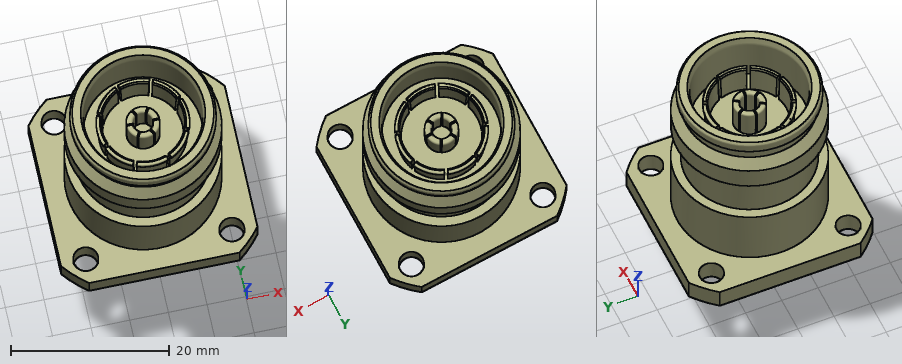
import cadquery as cq

flange_side = 25.4
flange_thickness = 2.8
flange_corner_radius = 16.0
mount_hole_diameter = 3.2
mount_hole_pitch = 18.9

barrel_radius = 9.97
barrel_top = 11.0
neck_radius = 8.73
collar_bottom = 16.15
collar_top = 21.7
collar_chamfer = barrel_radius - neck_radius
lip_radius = 9.25
lip_bottom = 23.5
lip_top = 25.0
lip_rim_radius = 8.95
lip_cone_radius = 9.2
lip_cone_height = 0.3
lip_rounding_height = 0.22

mouth_radius = 7.88
mouth_cone_radius = 7.63
mouth_cone_depth = 0.7
mouth_rounding_depth = 0.35
socket_radius = 7.57
socket_floor = 18.05

contact_top = 21.9

ring_outer_radius = 5.92
ring_inner_radius_top = 5.28
ring_inner_radius_base = 5.1
ring_outer_rounding = 0.12
ring_bead_height = 0.5
ring_wall_radius = 5.65
ring_inner_chamfer = 0.2
ring_slot_width = 0.45
ring_slot_count = 4

pin_outer_radius = 2.15
pin_inner_radius = 1.27
pin_outer_rounding = 0.25
pin_inner_rounding = 0.3
pin_slot_width = 0.2
pin_slot_count = 3

rear_neck_radius = 3.17
rear_plug_radius = 4.0
rear_neck_length = 1.3
rear_plug_length = 7.0
rear_chamfer = rear_plug_radius - rear_neck_radius


def revolved(outline):
    """Solid of revolution about Z from an outline drawn as (radius, height)."""
    return outline.close().revolve(360, (0, 0, 0), (0, 1, 0))


def make_flange():
    corner_trim = cq.Workplane("XY").circle(flange_corner_radius).extrude(flange_thickness)
    plate = cq.Workplane("XY").rect(flange_side, flange_side).extrude(flange_thickness)
    return (
        plate.intersect(corner_trim)
        .faces(">Z")
        .workplane()
        .rect(mount_hole_pitch, mount_hole_pitch, forConstruction=True)
        .vertices()
        .hole(mount_hole_diameter)
    )


def make_barrel():
    lip_cone_bottom = lip_top - lip_cone_height
    outline = (
        cq.Workplane("XZ")
        .lineTo(barrel_radius, 0)
        .lineTo(barrel_radius, barrel_top)
        .lineTo(neck_radius, barrel_top)
        .lineTo(neck_radius, collar_bottom)
        .lineTo(barrel_radius, collar_bottom + collar_chamfer)
        .lineTo(barrel_radius, collar_top - collar_chamfer)
        .lineTo(neck_radius, collar_top)
        .lineTo(neck_radius, lip_bottom)
        .lineTo(lip_radius, lip_bottom)
        .lineTo(lip_radius, lip_cone_bottom - lip_rounding_height)
        .tangentArcPoint((lip_cone_radius, lip_cone_bottom), relative=False)
        .lineTo(lip_rim_radius, lip_top)
        .lineTo(0, lip_top)
    )
    return revolved(outline)


def make_socket():
    mouth_cone_bottom = lip_top - mouth_cone_depth
    outline = (
        cq.Workplane("XZ")
        .moveTo(0, socket_floor)
        .lineTo(socket_radius, socket_floor)
        .lineTo(socket_radius, mouth_cone_bottom - mouth_rounding_depth)
        .tangentArcPoint((mouth_cone_radius, mouth_cone_bottom), relative=False)
        .lineTo(mouth_radius, lip_top)
        .lineTo(0, lip_top)
    )
    return revolved(outline)


def cut_slots(sleeve, slot_width, slot_count, first_angle):
    """Split a sleeve lengthwise with evenly turned slots across its full diameter."""
    for index in range(slot_count):
        slot = (
            cq.Workplane("XY", origin=(0, 0, socket_floor))
            .rect(2 * socket_radius, slot_width)
            .extrude(contact_top - socket_floor)
            .rotate((0, 0, 0), (0, 0, 1), first_angle + index * 180 / slot_count)
        )
        sleeve = sleeve.cut(slot)
    return sleeve


def make_contact_ring():
    bead_bottom = contact_top - ring_bead_height
    flare = ring_inner_radius_top - ring_inner_radius_base
    flare_height = contact_top - ring_inner_chamfer - socket_floor
    flare_middle = (ring_inner_radius_base + flare / 4, socket_floor + flare_height / 2)
    bead_chamfer = ring_outer_radius - ring_wall_radius
    outline = (
        cq.Workplane("XZ")
        .moveTo(ring_inner_radius_base, socket_floor)
        .lineTo(ring_wall_radius, socket_floor)
        .lineTo(ring_wall_radius, bead_bottom - bead_chamfer)
        .lineTo(ring_outer_radius, bead_bottom)
        .lineTo(ring_outer_radius, contact_top - ring_outer_rounding)
        .tangentArcPoint((-ring_outer_rounding, ring_outer_rounding))
        .lineTo(ring_inner_radius_top + ring_inner_chamfer, contact_top)
        .lineTo(ring_inner_radius_top, contact_top - ring_inner_chamfer)
        .threePointArc(flare_middle, (ring_inner_radius_base, socket_floor))
    )
    first_angle = 90 / ring_slot_count
    return cut_slots(revolved(outline), ring_slot_width, ring_slot_count, first_angle)


def make_centre_contact():
    outline = (
        cq.Workplane("XZ")
        .moveTo(pin_inner_radius, socket_floor)
        .lineTo(pin_outer_radius, socket_floor)
        .lineTo(pin_outer_radius, contact_top - pin_outer_rounding)
        .tangentArcPoint((-pin_outer_rounding, pin_outer_rounding))
        .lineTo(pin_inner_radius + pin_inner_rounding, contact_top)
        .tangentArcPoint((-pin_inner_rounding, -pin_inner_rounding))
    )
    return cut_slots(revolved(outline), pin_slot_width, pin_slot_count, 0)


def make_rear_plug():
    outline = (
        cq.Workplane("XZ")
        .lineTo(rear_neck_radius, 0)
        .lineTo(rear_neck_radius, -rear_neck_length)
        .lineTo(rear_plug_radius, -rear_neck_length - rear_chamfer)
        .lineTo(rear_plug_radius, -rear_plug_length)
        .lineTo(0, -rear_plug_length)
    )
    return revolved(outline)


body = make_flange().union(make_barrel()).union(make_rear_plug())
result = body.cut(make_socket()).union(make_contact_ring()).union(make_centre_contact())